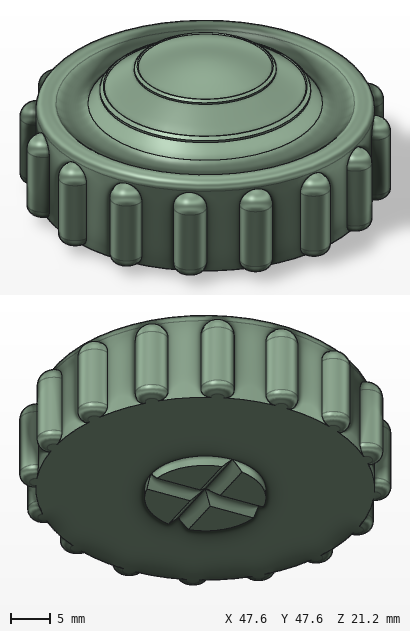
import cadquery as cq
import math

wheel_diameter = 43.3
wheel_radius = wheel_diameter / 2
wheel_bottom = 1.45
rim_round = 1.45
rim_top = 14.5
rim_round_start = rim_top - rim_round

trough_outer_radius = 38.15 / 2
trough_round = 2.55
rim_center_radius = wheel_radius - rim_round
tangent_sine = (rim_center_radius - trough_outer_radius) / rim_round
tangent_cosine = math.sqrt(1 - tangent_sine ** 2)
trough_outer_height = rim_round_start + rim_round * tangent_cosine
trough_center_radius = trough_outer_radius - trough_round * tangent_sine
trough_center_height = trough_outer_height + trough_round * tangent_cosine

rib_count = 16
rib_radius = 2.15
rib_ball_height = 10.75
rib_foot_round = 1.3

spigot_diameter = 15.5
v_groove_depth = wheel_bottom
v_groove_half_width = v_groove_depth

dome_radius = 30.0 / 2
dome_top = 21.15
seat_height = trough_center_height - math.sqrt(trough_round ** 2 - (trough_center_radius - dome_radius) ** 2)
crown_edge_radius = 8.55
crown_edge_height = 19.25
crown_drop = dome_top - crown_edge_height
dome_curvature = (crown_edge_radius ** 2 + crown_drop ** 2) / (2 * crown_drop)
middle_edge_radius = 12.9
middle_edge_height = 16.25

lip_rise = 0.15
upper_step_radius = 18.2 / 2
upper_step_bevel_foot = 19.05
upper_step_foot = 18.8
lower_step_radius = 27.0 / 2
lower_step_bevel_foot = 15.95
lower_step_foot = 15.65


def make_wheel():
    rim_crest = (rim_center_radius, rim_top)
    trough_bottom = (trough_center_radius, trough_center_height - trough_round)
    profile = (
        cq.Workplane("XZ")
        .moveTo(0, wheel_bottom)
        .lineTo(wheel_radius, wheel_bottom)
        .lineTo(wheel_radius, rim_round_start)
        .threePointArc(
            (rim_center_radius + rim_round * math.sqrt(0.5), rim_round_start + rim_round * math.sqrt(0.5)),
            rim_crest,
        )
        .radiusArc((trough_outer_radius, trough_outer_height), -rim_round)
        .threePointArc(trough_bottom, (dome_radius, seat_height))
        .lineTo(0, seat_height)
        .close()
    )
    return profile.revolve(360, (0, 0, 0), (0, 1, 0))


def make_rib(angle):
    shaft = (
        cq.Workplane("XY", origin=(wheel_radius, 0, wheel_bottom))
        .circle(rib_radius)
        .extrude(rib_ball_height - wheel_bottom)
        .faces("<Z")
        .edges()
        .fillet(rib_foot_round)
    )
    ball = cq.Workplane("XY", origin=(wheel_radius, 0, rib_ball_height)).sphere(rib_radius)
    return shaft.union(ball).rotate((0, 0, 0), (0, 0, 1), angle)


def make_spigot():
    spigot = cq.Workplane("XY").circle(spigot_diameter / 2).extrude(wheel_bottom)
    for plane in ("XZ", "YZ"):
        v_groove = (
            cq.Workplane(plane)
            .moveTo(-v_groove_half_width, 0)
            .lineTo(0, v_groove_depth)
            .lineTo(v_groove_half_width, 0)
            .close()
            .extrude(spigot_diameter, both=True)
        )
        spigot = spigot.cut(v_groove)
    return spigot


def make_knob():
    knob = make_wheel()
    for index in range(rib_count):
        knob = knob.union(make_rib(index * 360 / rib_count))
    return knob.union(make_spigot()).solids()


def make_dome():
    profile = (
        cq.Workplane("XZ")
        .moveTo(0, seat_height)
        .lineTo(0, dome_top)
        .radiusArc((crown_edge_radius, crown_edge_height), dome_curvature)
        .line(lip_rise, lip_rise)
        .lineTo(upper_step_radius, upper_step_bevel_foot)
        .lineTo(upper_step_radius, upper_step_foot)
        .radiusArc((middle_edge_radius, middle_edge_height), dome_curvature)
        .line(lip_rise, lip_rise)
        .lineTo(lower_step_radius, lower_step_bevel_foot)
        .lineTo(lower_step_radius, lower_step_foot)
        .radiusArc((dome_radius, seat_height), dome_curvature)
        .close()
    )
    return profile.revolve(360, (0, 0, 0), (0, 1, 0))


knob = make_knob()
dome = make_dome()
result = cq.Compound.makeCompound([knob.val(), dome.val()])